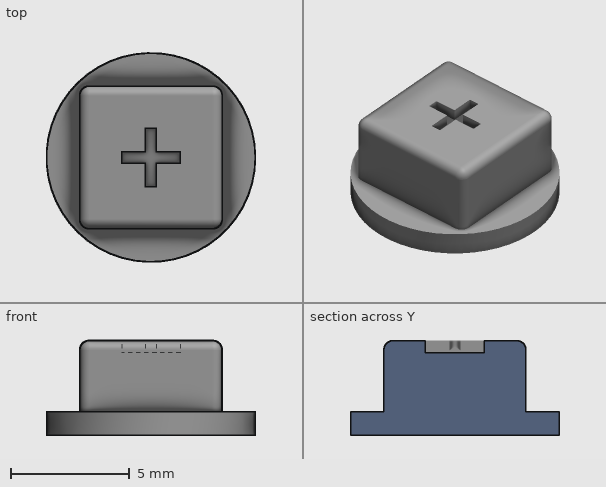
import cadquery as cq

flange_diameter = 8.8
flange_height = 1.0

block_side = 6.0
block_height = 3.0
edge_radius = 0.4

cross_length = 2.47
cross_arm_width = 0.47
cross_depth = 0.5

total_height = flange_height + block_height


def make_flange():
    """Disc resting on the XY plane."""
    return cq.Workplane("XY").circle(flange_diameter / 2).extrude(flange_height)


def make_block():
    """Square block with rounded vertical and top edges."""
    block = (
        cq.Workplane("XY")
        .workplane(offset=flange_height)
        .rect(block_side, block_side)
        .extrude(block_height)
    )
    return block.edges("|Z or >Z").fillet(edge_radius)


def make_cross():
    """Cutter for the recess: two equal crossing bars sunk from the top face."""
    top_plane = cq.Workplane("XY").workplane(offset=total_height)
    bar_along_x = top_plane.rect(cross_length, cross_arm_width).extrude(-cross_depth)
    bar_along_y = top_plane.rect(cross_arm_width, cross_length).extrude(-cross_depth)
    return bar_along_x.union(bar_along_y)


result = make_flange().union(make_block()).cut(make_cross())